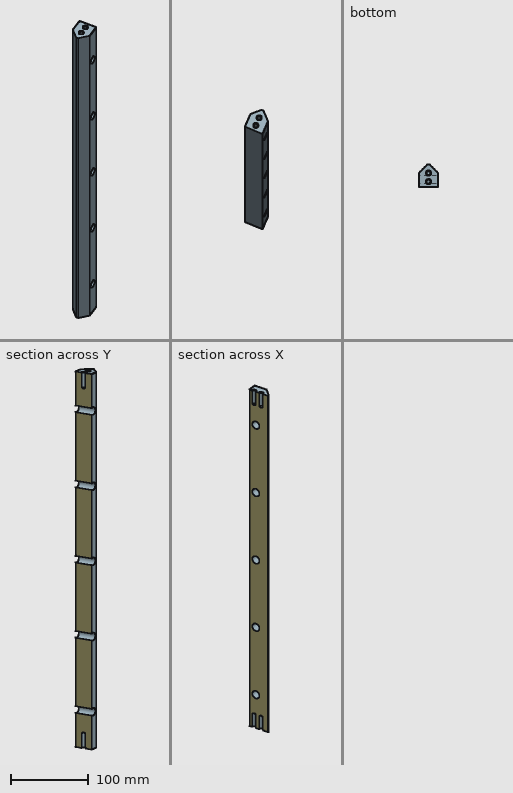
import cadquery as cq
import math

length = 500.0
width = 25.0
depth = 29.0
tip_flat_width = 3.0
nose_height = (width - tip_flat_width) / 2
edge_chamfer = 0.5

back_y = depth / 2
tip_y = -depth / 2
shoulder_y = tip_y + nose_height

cross_hole_diameter = 10.3
cross_hole_count = 5
cross_hole_pitch = length / cross_hole_count
cross_hole_y = back_y - 10.0

end_hole_diameter = 5.0
end_hole_depth = 20.0
countersink_diameter = 7.0
drill_point_angle = 118.0
end_hole_ys = (back_y - 7.0, back_y - 18.0)


def make_rail():
    """Rail with bevelled back corners and bevelled side-wall edges at both ends."""
    rail = (
        cq.Workplane("XY")
        .moveTo(-width / 2, back_y)
        .lineTo(width / 2, back_y)
        .lineTo(width / 2, shoulder_y)
        .lineTo(tip_flat_width / 2, tip_y)
        .lineTo(-tip_flat_width / 2, tip_y)
        .lineTo(-width / 2, shoulder_y)
        .close()
        .extrude(length)
    )
    rail = rail.edges("|Y").chamfer(edge_chamfer)
    return rail.edges("|Z and >Y").chamfer(edge_chamfer)


def make_cross_holes():
    """Row of evenly pitched cylinders along the rail, half a pitch from each end."""
    centers = [(cross_hole_y, (i + 0.5) * cross_hole_pitch) for i in range(cross_hole_count)]
    return (
        cq.Workplane("YZ", origin=(-width / 2, 0, 0))
        .pushPoints(centers)
        .circle(cross_hole_diameter / 2)
        .extrude(width)
    )


def make_end_hole(y):
    """Countersunk drill hole sunk into the top end face at x = 0."""
    bore_radius = end_hole_diameter / 2
    rim_radius = countersink_diameter / 2
    sink_z = length - (rim_radius - bore_radius)
    shoulder_z = length - end_hole_depth
    point_z = shoulder_z - bore_radius / math.tan(math.radians(drill_point_angle / 2))
    return (
        cq.Workplane("XZ", origin=(0, y, 0))
        .moveTo(0, length)
        .lineTo(rim_radius, length)
        .lineTo(bore_radius, sink_z)
        .lineTo(bore_radius, shoulder_z)
        .lineTo(0, point_z)
        .close()
        .revolve(360, (0, 0, 0), (0, 1, 0))
    )


result = make_rail().cut(make_cross_holes())
for hole_y in end_hole_ys:
    top_hole = make_end_hole(hole_y)
    bottom_hole = top_hole.mirror("XY", (0, 0, length / 2))
    result = result.cut(top_hole).cut(bottom_hole)